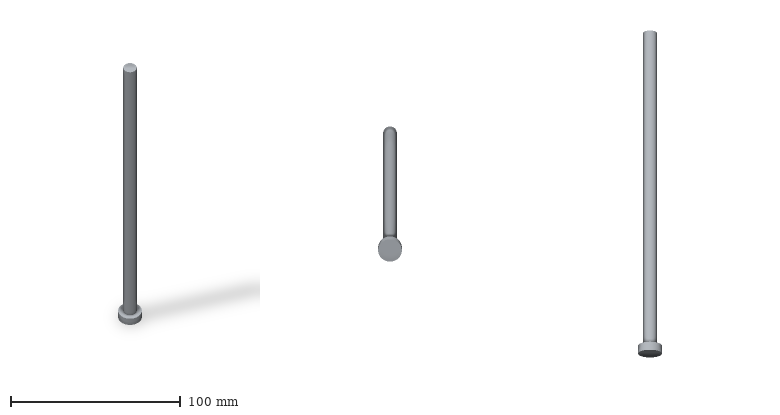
import cadquery as cq

total_length = 200.0
head_diameter = 14.0
head_height = 5.0
shank_diameter = 8.0

shank_length = total_length - head_height


def make_head():
    """Round head with its underside on the XY plane."""
    return cq.Workplane("XY").circle(head_diameter / 2).extrude(head_height)


def add_shank(body):
    """Plain shank rising from the middle of the head's top face."""
    return body.faces(">Z").workplane().circle(shank_diameter / 2).extrude(shank_length)


result = add_shank(make_head())